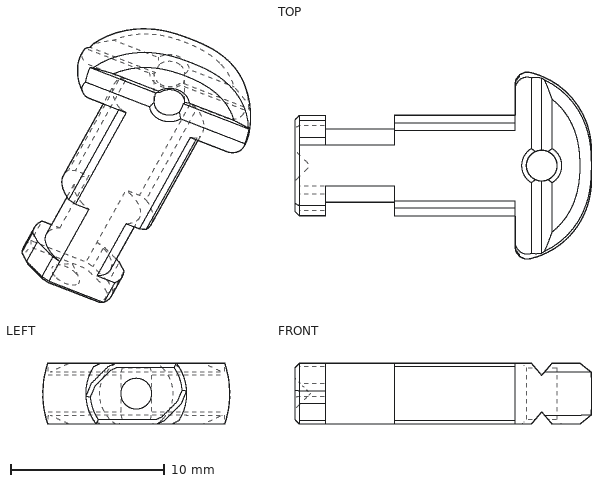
import cadquery as cq
import math

length = 19.38
thickness = 4.0
half_thickness = thickness / 2

tip_end = 2.0
neck_end = 6.5
head_start = 14.38

pin_radius = 3.3
neck_radius = 2.4
corner_drop = 0.23
shank_flat_half_width = 2.3
tip_chamfer = 0.3
center_mark_radius = 1.0
center_mark_depth = 1.0

cut_bottom_z = -0.17
cut_upper_y = 1.85
cut_lower_y = 2.95

crown_flat_radius = 1.0
dome_radius = 5.23
head_fillet = 0.8
bevel_width = 0.65
bevel_height = 0.6

cross_x = 16.12
cross_hole_diameter = 2.0
cross_hole_radius = cross_hole_diameter / 2
cross_hole_chamfer = 0.31
groove_half_width = 0.68
groove_depth = 0.8


def flat_y(radius, z):
    """Half width of a circle of the given radius at height z."""
    return math.sqrt(radius**2 - z**2)


def box_between(x_start, x_end):
    """Slab of the part thickness, wider than the part in Y."""
    span = x_end - x_start
    slab = cq.Workplane("XY").box(span, length, thickness, centered=(False, True, True))
    return slab.translate((x_start, 0, 0))


def make_tip():
    """Flattened disc with two opposite bayonet corners, chamfered at the front."""
    corner_z = half_thickness - corner_drop
    bayonet = [
        (flat_y(neck_radius, half_thickness), half_thickness),
        (cut_upper_y, corner_z),
        (cut_lower_y, corner_z - (cut_lower_y - cut_upper_y)),
        (flat_y(pin_radius, cut_bottom_z), cut_bottom_z),
    ]
    round_end_y = flat_y(pin_radius, half_thickness)
    round_mid_z = (cut_bottom_z - half_thickness) / 2
    round_mid_y = flat_y(pin_radius, round_mid_z)
    outline = (
        cq.Workplane("YZ")
        .polyline(bayonet)
        .threePointArc((round_mid_y, round_mid_z), (round_end_y, -half_thickness))
        .lineTo(-bayonet[0][0], -half_thickness)
    )
    for y, z in bayonet[1:]:
        outline = outline.lineTo(-y, -z)
    outline = outline.threePointArc((-round_mid_y, -round_mid_z), (-round_end_y, half_thickness)).close()
    return outline.extrude(tip_end).faces("<X").chamfer(tip_chamfer)


def make_neck():
    neck = cq.Workplane("YZ").circle(neck_radius).extrude(neck_end)
    return neck.intersect(box_between(tip_end, neck_end))


def make_shank():
    """Flattened round bar with a sloped facet on each of its four long corners."""
    facet_z = half_thickness - corner_drop
    facet_y = flat_y(pin_radius, facet_z)
    return (
        cq.Workplane("YZ", origin=(neck_end, 0, 0))
        .moveTo(-shank_flat_half_width, half_thickness)
        .lineTo(shank_flat_half_width, half_thickness)
        .lineTo(facet_y, facet_z)
        .threePointArc((pin_radius, 0), (facet_y, -facet_z))
        .lineTo(shank_flat_half_width, -half_thickness)
        .lineTo(-shank_flat_half_width, -half_thickness)
        .lineTo(-facet_y, -facet_z)
        .threePointArc((-pin_radius, 0), (-facet_y, facet_z))
        .close()
        .extrude(head_start - neck_end)
    )


def make_head():
    """Flattened dome, beveled behind the grooves."""
    dome_center_x = length - dome_radius
    rim_radius = crown_flat_radius + flat_y(dome_radius, head_start - dome_center_x)
    diagonal = dome_radius * math.sqrt(0.5)
    dome = (
        cq.Workplane("XY")
        .moveTo(head_start, 0)
        .lineTo(head_start, rim_radius)
        .threePointArc(
            (dome_center_x + diagonal, crown_flat_radius + diagonal),
            (length, crown_flat_radius),
        )
        .lineTo(length, 0)
        .close()
        .revolve(360, (0, 0, 0), (1, 0, 0))
        .faces("<X").edges().fillet(head_fillet)
    )
    front = dome.intersect(box_between(head_start, cross_x))
    back = dome.intersect(box_between(cross_x, length))
    for side in (">Z", "<Z"):
        rim = back.faces(side).edges("not #X").vals()
        back = cq.Workplane(back.val().chamfer(bevel_height, bevel_width, rim))
    return front.union(back)


def cut_grooves(body):
    for side in (1, -1):
        groove = (
            cq.Workplane("XZ")
            .moveTo(cross_x - groove_half_width, side * half_thickness)
            .lineTo(cross_x, side * (half_thickness - groove_depth))
            .lineTo(cross_x + groove_half_width, side * half_thickness)
            .close()
            .extrude(length / 2, both=True)
        )
        body = body.cut(groove)
    return body


def cut_cross_hole(body):
    hole = (
        cq.Workplane("XZ")
        .moveTo(0, half_thickness)
        .lineTo(cross_hole_radius + cross_hole_chamfer, half_thickness)
        .lineTo(cross_hole_radius, half_thickness - cross_hole_chamfer)
        .lineTo(cross_hole_radius, cross_hole_chamfer - half_thickness)
        .lineTo(cross_hole_radius + cross_hole_chamfer, -half_thickness)
        .lineTo(0, -half_thickness)
        .close()
        .revolve(360, (0, 0, 0), (0, 1, 0))
    )
    return body.cut(hole.translate((cross_x, 0, 0)))


def cut_center_mark(body):
    cone = cq.Solid.makeCone(center_mark_radius, 0, center_mark_depth, dir=cq.Vector(1, 0, 0))
    return body.cut(cq.Workplane(cone))


body = make_tip().union(make_neck()).union(make_shank()).union(make_head())
body = cut_grooves(body)
body = cut_cross_hole(body)
result = cut_center_mark(body)